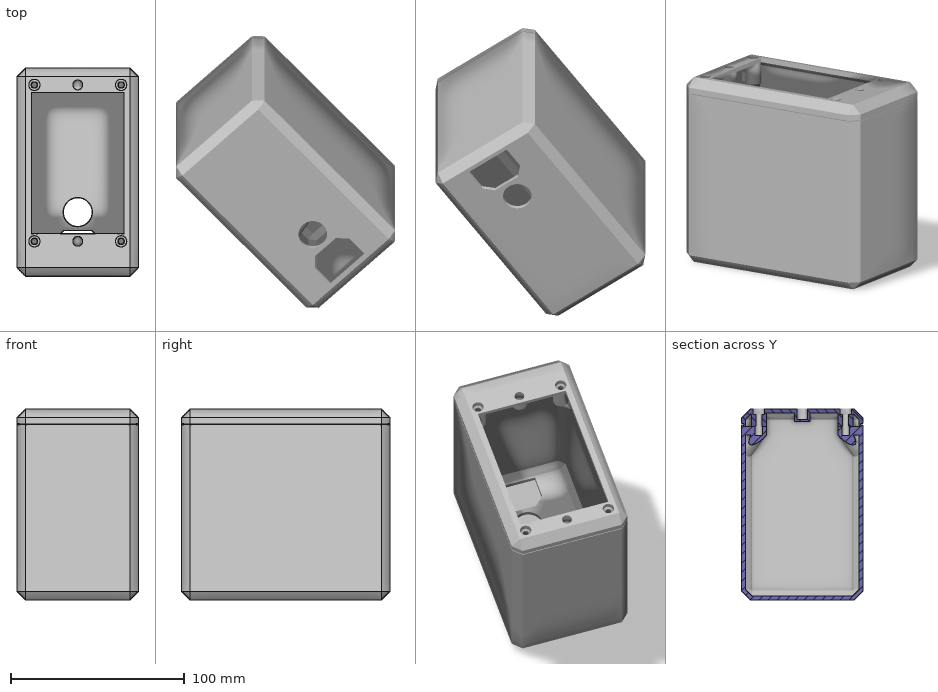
import cadquery as cq
import math

WIDTH = 70.0
LENGTH = 120.0
HEIGHT = 110.0
WALL = 2.5
OUTER_CHAMFER = 5.0
CHAMFER_SHRINK = 2 - math.sqrt(2)

SEAT_DEPTH = 10.0
LID_SKIRT_DEPTH = 8.5
SHADOW_GAP = 0.5
LIP_THICKNESS = WALL / 2
SEAT_Z = HEIGHT - SEAT_DEPTH
LID_SKIRT_Z = HEIGHT - LID_SKIRT_DEPTH
BOX_RIM_Z = LID_SKIRT_Z - SHADOW_GAP

OPENING_WIDTH = 53.0
OPENING_LENGTH = 81.0
OPENING_Y = 5.2

SCREW_X = 25.0
SCREW_SPACING_Y = 90.0
BACK_Y = OPENING_Y + SCREW_SPACING_Y / 2
FRONT_Y = OPENING_Y - SCREW_SPACING_Y / 2
SCREW_POINTS = [(x, y) for x in (-SCREW_X, SCREW_X) for y in (FRONT_Y, BACK_Y)]
MIDDLE_POINTS = [(0, FRONT_Y), (0, BACK_Y)]

BOSS_DIAMETER = 9.0
SCREW_HOLE_DIAMETER = 3.4
HEAD_DIAMETER = 6.5
HEAD_DEPTH = 3.0
PILOT_DIAMETER = 4.0
MIDDLE_HOLE_DIAMETER = 5.6
MIDDLE_HOLE_DEPTH = 6.0
MIDDLE_BOSS_DEPTH = 7.5
BOX_BOSS_HEIGHT = 5.0
RIB_THICKNESS = 1.5
SUPPORT_RUN = 24.0

CABLE_HOLE_DIAMETER = 16.5
CABLE_HOLE_Y = -23.0
SOCKET_BACK_Y = -33.7
SOCKET_WIDTH = 27.0
SOCKET_LENGTH = 19.0
SOCKET_CHAMFER = 5.4


def chamfered_block(inset):
    """Enclosure outline moved inwards evenly by inset, with every edge chamfered."""
    return (
        cq.Workplane("XY", origin=(0, 0, inset))
        .box(WIDTH - 2 * inset, LENGTH - 2 * inset, HEIGHT - 2 * inset, centered=(True, True, False))
        .edges()
        .chamfer(OUTER_CHAMFER - inset * CHAMFER_SHRINK)
    )


def slab(bottom, top):
    """Rectangular block over the whole footprint between two heights."""
    return cq.Workplane("XY", origin=(0, 0, bottom)).box(
        WIDTH, LENGTH, top - bottom, centered=(True, True, False)
    )


def cylinders(points, diameter, bottom, top):
    """Vertical cylinders at the given points between two heights."""
    return (
        cq.Workplane("XY", origin=(0, 0, bottom))
        .pushPoints(points)
        .circle(diameter / 2)
        .extrude(top - bottom)
    )


OUTER = chamfered_block(0)
CAVITY = chamfered_block(WALL)
LIP_CORE = chamfered_block(WALL - LIP_THICKNESS)


def boss_support(x, y):
    """Round support sloping down at 45 degrees from a box boss into the wall."""
    side = math.copysign(1, x)
    lean = cq.Vector(side, 1, 0) if y == BACK_Y else cq.Vector(side, 0, 0)
    slope = (lean.normalized() - cq.Vector(0, 0, 1)) * SUPPORT_RUN
    foot = cq.Wire.makeCircle(
        BOSS_DIAMETER / 2, cq.Vector(x, y, SEAT_Z - BOX_BOSS_HEIGHT), cq.Vector(0, 0, 1)
    )
    return cq.Workplane(cq.Solid.extrudeLinear(foot, [], slope))


def boss_ribs(x, y):
    """Ribs joining a box boss to the side wall and, at the back, to the end wall."""
    bottom = SEAT_Z - BOX_BOSS_HEIGHT
    reach_x = (WIDTH - WALL) / 2 - abs(x)
    ribs = cq.Workplane("XY", origin=(x + math.copysign(reach_x / 2, x), y, bottom)).box(
        reach_x, RIB_THICKNESS, BOX_BOSS_HEIGHT, centered=(True, True, False)
    )
    if y == BACK_Y:
        reach_y = (LENGTH - WALL) / 2 - y
        end_rib = cq.Workplane("XY", origin=(x, y + reach_y / 2, bottom)).box(
            RIB_THICKNESS, reach_y, BOX_BOSS_HEIGHT, centered=(True, True, False)
        )
        ribs = ribs.union(end_rib)
    return ribs


def floor_cutouts():
    """Round cable hole and socket opening with two chamfered corners."""
    cable_hole = cylinders([(0, CABLE_HOLE_Y)], CABLE_HOLE_DIAMETER, 0, 2 * WALL)
    socket = (
        cq.Workplane("XY")
        .center(0, SOCKET_BACK_Y - SOCKET_LENGTH / 2)
        .rect(SOCKET_WIDTH, SOCKET_LENGTH)
        .extrude(2 * WALL)
        .edges("|Z and >Y")
        .chamfer(SOCKET_CHAMFER)
    )
    return cable_hole.union(socket)


def make_box():
    """Lower housing with its lip recess, screw bosses and floor cutouts."""
    shell = OUTER.intersect(slab(0, BOX_RIM_Z)).cut(CAVITY)
    lip_recess = LIP_CORE.intersect(slab(SEAT_Z, HEIGHT))
    box = shell.cut(lip_recess)
    bosses = cylinders(SCREW_POINTS, BOSS_DIAMETER, SEAT_Z - BOX_BOSS_HEIGHT, SEAT_Z)
    for x, y in SCREW_POINTS:
        bosses = bosses.union(boss_support(x, y)).union(boss_ribs(x, y))
    box = box.union(bosses.intersect(OUTER))
    pilots = cylinders(SCREW_POINTS, PILOT_DIAMETER, SEAT_Z - BOX_BOSS_HEIGHT, SEAT_Z)
    return box.cut(pilots).cut(floor_cutouts())


def make_lid():
    """Rim-shaped lid with a locating lip, screw bosses and blind middle bosses."""
    skirt = OUTER.intersect(slab(LID_SKIRT_Z, HEIGHT))
    lip = LIP_CORE.intersect(slab(SEAT_Z, HEIGHT))
    lid = skirt.union(lip).cut(CAVITY)
    opening = (
        cq.Workplane("XY", origin=(0, OPENING_Y, SEAT_Z))
        .rect(OPENING_WIDTH, OPENING_LENGTH)
        .extrude(SEAT_DEPTH)
    )
    lid = lid.cut(opening)
    plate_bottom = HEIGHT - WALL
    lid = lid.union(cylinders(SCREW_POINTS, BOSS_DIAMETER, SEAT_Z, plate_bottom))
    lid = lid.union(cylinders(MIDDLE_POINTS, BOSS_DIAMETER, HEIGHT - MIDDLE_BOSS_DEPTH, plate_bottom))
    lid = lid.cut(cylinders(SCREW_POINTS, SCREW_HOLE_DIAMETER, SEAT_Z, HEIGHT))
    lid = lid.cut(cylinders(SCREW_POINTS, HEAD_DIAMETER, HEIGHT - HEAD_DEPTH, HEIGHT))
    return lid.cut(cylinders(MIDDLE_POINTS, MIDDLE_HOLE_DIAMETER, HEIGHT - MIDDLE_HOLE_DEPTH, HEIGHT))


box = make_box()
lid = make_lid()
result = cq.Compound.makeCompound([box.val(), lid.val()])